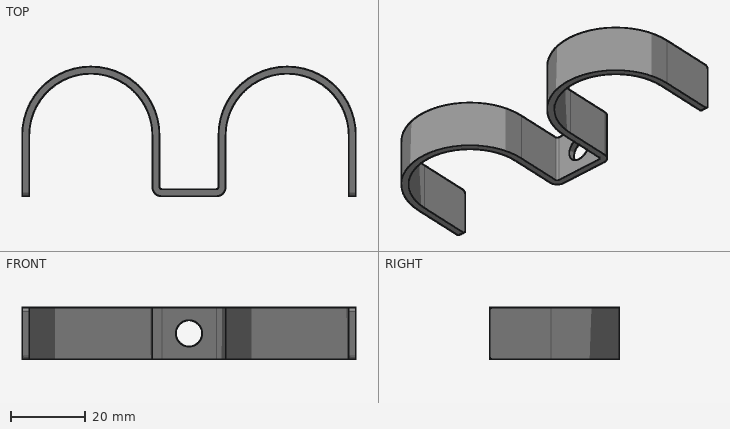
import cadquery as cq

length = 90.0
depth = 35.0
width = 14.0
thickness = 2.0

saddle_radius = 18.5
bend_inner_radius = 0.5
bend_outer_radius = bend_inner_radius + thickness
hole_diameter = 7.0
tip_corner = 1.0

saddle_x = length / 2 - saddle_radius
leg_length = depth - saddle_radius
saddle_bore_radius = saddle_radius - thickness
web_half_length = saddle_x - saddle_bore_radius
web_y = -leg_length


def arch(radius):
    """Two side-by-side arches with straight legs, extruded across the strap width."""
    slots = cq.Workplane("XY")
    for x in (-saddle_x, saddle_x):
        slots = (
            slots.moveTo(x - radius, web_y)
            .lineTo(x - radius, 0)
            .threePointArc((x, radius), (x + radius, 0))
            .lineTo(x + radius, web_y)
            .close()
        )
    return slots.extrude(width / 2, both=True)


def central_web():
    """Flat web joining the inner legs, with rounded bends at both ends."""
    outside = (
        cq.Workplane("XY")
        .center(0, web_y / 2)
        .rect(2 * web_half_length, leg_length)
        .extrude(width / 2, both=True)
        .edges("|Z and <Y")
        .fillet(bend_outer_radius)
    )
    channel = (
        cq.Workplane("XY")
        .center(0, web_y / 2 + thickness)
        .rect(2 * (web_half_length - thickness), leg_length)
        .extrude(width / 2, both=True)
        .edges("|Z and <Y")
        .fillet(bend_inner_radius)
    )
    return outside.cut(channel)


def outer_arches():
    """Saddles with the inner legs removed where the web supplies them."""
    inner_leg_space = (
        cq.Workplane("XY")
        .center(0, web_y / 2)
        .rect(2 * web_half_length, leg_length)
        .extrude(width / 2, both=True)
    )
    return arch(saddle_radius).cut(arch(saddle_bore_radius)).cut(inner_leg_space)


saddles = outer_arches().edges("|X and <Y").fillet(tip_corner)

hole = (
    cq.Workplane("XZ", origin=(0, web_y + thickness, 0))
    .circle(hole_diameter / 2)
    .extrude(thickness)
)

result = saddles.union(central_web()).cut(hole)